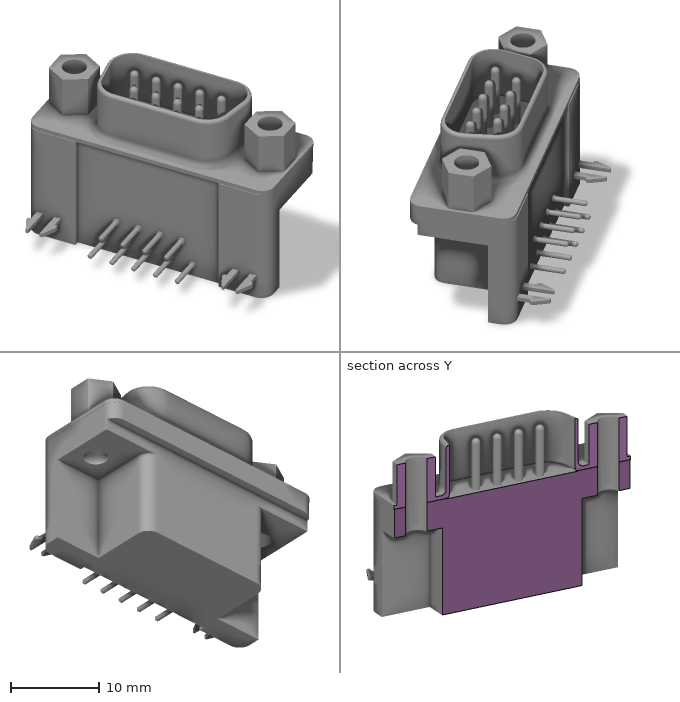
import cadquery as cq
import math

PLATE_LENGTH = 30.8
PLATE_DEPTH = 12.45
CORNER_RADIUS = 1.55
PLATE_BOTTOM_Z = 14.17
PLATE_TOP_Z = 14.7

SHROUD_TOP_Z = 20.7
SHROUD_WALL = 0.45
SHROUD_BASE_FILLET = 0.65
SHROUD_MOUTH_FILLET = 0.5
SHROUD_RIM_FILLET = 0.4
D_CORNER_RADIUS = 3.05
D_HALF_DEPTH = 4.68
D_REAR_CORNER_X = 5.9
D_SLANT = math.radians(10)

STANDOFF_X = 12.48
STANDOFF_TOP_Z = 19.63
STANDOFF_ACROSS_FLATS = 5.02
STANDOFF_ACROSS_CORNERS = STANDOFF_ACROSS_FLATS / math.cos(math.pi / 6)
STANDOFF_HOLE_DIAMETER = 2.85

HOUSING_LENGTH = 30.72
HOUSING_FRONT_Y = -6.32
HOUSING_FLANGE_REAR_Y = 6.22
HOUSING_REAR_Y = 5.02
FLANGE_BOTTOM_Z = 12.05
EAR_BOTTOM_Z = 10.65
PILLAR_REAR_Y = -3.27
CENTER_HALF_WIDTH = 9.12
FRONT_RECESS_DEPTH = 0.62
HOUSING_CENTER_Y = (HOUSING_FRONT_Y + HOUSING_FLANGE_REAR_Y) / 2
RECESS_FACE_Y = HOUSING_FRONT_Y + FRONT_RECESS_DEPTH

CONTACT_PITCH = 2.77
ROW_OFFSET = 1.42
CONTACT_RADIUS = 0.5
CONTACT_TIP_Z = 20.35

CONTACT_ROWS = [(5, ROW_OFFSET, 1.57), (4, -ROW_OFFSET, 4.4)]

TAIL_RADIUS = 0.3
TAIL_END_Y = -9.77
TAIL_CHAMFER = 0.15
COLLAR_RADIUS = 0.4
COLLAR_LENGTH = 0.28

CLIP_Z = 2.85
CLIP_THICKNESS = 0.5
CLIP_INNER_X = 0.75
CLIP_OUTER_X = 1.5
CLIP_BARB_X = 2.1
CLIP_TIP_X = 1.05
CLIP_END_Y = -10.07
CLIP_SHOULDER_Y = -7.83
CLIP_BARB_ROUND = 0.3
CLIP_TIP_ROUND = 0.15


def d_profile(z, offset):
    """D-shaped outline at height z, shrunk inwards by offset."""
    radius = D_CORNER_RADIUS - offset
    center_y = D_HALF_DEPTH - D_CORNER_RADIUS
    rear_x = D_REAR_CORNER_X
    front_x = rear_x - 2 * center_y * math.tan(D_SLANT)

    def on_arc(center_x, arc_center_y, angle):
        return (center_x + radius * math.cos(angle), arc_center_y + radius * math.sin(angle))

    def mirrored(point):
        return (-point[0], point[1])

    rear_end = on_arc(rear_x, center_y, math.pi / 2)
    rear_mid = on_arc(rear_x, center_y, (math.pi / 2 - D_SLANT) / 2)
    side_rear = on_arc(rear_x, center_y, -D_SLANT)
    side_front = on_arc(front_x, -center_y, -D_SLANT)
    front_mid = on_arc(front_x, -center_y, -(math.pi / 2 + D_SLANT) / 2)
    front_end = on_arc(front_x, -center_y, -math.pi / 2)
    return (
        cq.Workplane("XY", origin=(0, 0, z))
        .moveTo(*mirrored(rear_end))
        .lineTo(*rear_end)
        .threePointArc(rear_mid, side_rear)
        .lineTo(*side_front)
        .threePointArc(front_mid, front_end)
        .lineTo(*mirrored(front_end))
        .threePointArc(mirrored(front_mid), mirrored(side_front))
        .lineTo(*mirrored(side_rear))
        .threePointArc(mirrored(rear_mid), mirrored(rear_end))
        .close()
    )


def box(x_range, y_range, z_range):
    """Box between the given limits."""
    (x0, x1), (y0, y1), (z0, z1) = x_range, y_range, z_range
    return cq.Workplane("XY").box(x1 - x0, y1 - y0, z1 - z0, centered=False).translate((x0, y0, z0))


def standoff_holes():
    """Through holes shared by the standoffs, the plate and the housing ears."""
    return (
        cq.Workplane("XY")
        .pushPoints([(-STANDOFF_X, 0), (STANDOFF_X, 0)])
        .circle(STANDOFF_HOLE_DIAMETER / 2)
        .extrude(STANDOFF_TOP_Z)
    )


def make_standoff():
    """Hexagonal standoff on the plate, with two corners pointing along Y."""
    return (
        cq.Workplane("XY", origin=(0, 0, PLATE_TOP_Z))
        .polygon(6, STANDOFF_ACROSS_CORNERS)
        .extrude(STANDOFF_TOP_Z - PLATE_TOP_Z)
        .rotate((0, 0, 0), (0, 0, 1), 90)
    )


def around_shroud(z):
    """Selector of the plate edges at height z that follow the shroud, not the plate's rim."""
    margin = 0.03
    half_x = PLATE_LENGTH / 2 - CORNER_RADIUS
    half_y = D_HALF_DEPTH + margin
    return cq.selectors.BoxSelector((-half_x, -half_y, z - margin), (half_x, half_y, z + margin))


def make_shell():
    """Flange plate carrying the standoffs and the hollow D shroud, flared inside at its foot."""
    plate = (
        cq.Workplane("XY", origin=(0, 0, PLATE_BOTTOM_Z))
        .rect(PLATE_LENGTH, PLATE_DEPTH)
        .extrude(PLATE_TOP_Z - PLATE_BOTTOM_Z)
        .edges("|Z")
        .fillet(CORNER_RADIUS)
    )
    shroud = (
        d_profile(PLATE_TOP_Z, 0)
        .extrude(SHROUD_TOP_Z - PLATE_TOP_Z)
        .faces(">Z")
        .edges()
        .fillet(SHROUD_RIM_FILLET)
    )
    body = plate.union(shroud).edges(around_shroud(PLATE_TOP_Z)).fillet(SHROUD_BASE_FILLET)
    opening = d_profile(PLATE_BOTTOM_Z, SHROUD_WALL).extrude(SHROUD_TOP_Z - PLATE_BOTTOM_Z)
    body = body.cut(opening).edges(around_shroud(PLATE_BOTTOM_Z)).fillet(SHROUD_MOUTH_FILLET)
    for x in (-STANDOFF_X, STANDOFF_X):
        body = body.union(make_standoff().translate((x, 0, 0)))
    return body.cut(standoff_holes())


def make_housing_block():
    """Moulded block: rounded flange, side ears and front pillars."""
    block = (
        cq.Workplane("XY")
        .center(0, HOUSING_CENTER_Y)
        .rect(HOUSING_LENGTH, HOUSING_FLANGE_REAR_Y - HOUSING_FRONT_Y)
        .extrude(PLATE_BOTTOM_Z)
        .edges("|Z")
        .fillet(CORNER_RADIUS)
    )
    full_x = (-HOUSING_LENGTH / 2, HOUSING_LENGTH / 2)
    center_x = (-CENTER_HALF_WIDTH, CENTER_HALF_WIDTH)
    below_flange = box(full_x, (HOUSING_REAR_Y, HOUSING_FLANGE_REAR_Y), (0, FLANGE_BOTTOM_Z))
    below_ears = box(full_x, (PILLAR_REAR_Y, HOUSING_REAR_Y), (0, EAR_BOTTOM_Z))
    center_block = (
        box(center_x, (PILLAR_REAR_Y, HOUSING_REAR_Y), (0, EAR_BOTTOM_Z))
        .edges("|Z and >Y")
        .fillet(CORNER_RADIUS)
    )
    front_recess = box(center_x, (HOUSING_FRONT_Y, RECESS_FACE_Y), (0, PLATE_BOTTOM_Z))
    return (
        block.cut(below_flange)
        .cut(below_ears.cut(center_block))
        .cut(front_recess)
        .cut(standoff_holes())
    )


def make_pin(x, y):
    """Domed mating pin of a contact, standing on the housing inside the shroud."""
    pin = (
        cq.Workplane("XY", origin=(x, y, PLATE_BOTTOM_Z))
        .circle(CONTACT_RADIUS)
        .extrude(CONTACT_TIP_Z - CONTACT_RADIUS - PLATE_BOTTOM_Z)
    )
    dome = cq.Workplane("XY", origin=(x, y, CONTACT_TIP_Z - CONTACT_RADIUS)).sphere(CONTACT_RADIUS)
    return pin.union(dome)


def make_tail(x, tail_z):
    """Chamfered tail of a contact, leaving the front recess through a short collar."""
    tail_plane = cq.Workplane("XZ", origin=(x, RECESS_FACE_Y, tail_z))
    tail = (
        tail_plane.circle(TAIL_RADIUS)
        .extrude(RECESS_FACE_Y - TAIL_END_Y)
        .faces("<Y")
        .chamfer(TAIL_CHAMFER)
    )
    collar = tail_plane.circle(COLLAR_RADIUS).extrude(COLLAR_LENGTH)
    return tail.union(collar)


def make_clip_prong(side):
    """Barbed prong of a board clip, on the given side (-1 or 1) of the clip's middle."""
    outline = [
        (side * CLIP_INNER_X, HOUSING_FRONT_Y),
        (side * CLIP_OUTER_X, HOUSING_FRONT_Y),
        (side * CLIP_OUTER_X, CLIP_SHOULDER_Y),
        (side * CLIP_BARB_X, CLIP_SHOULDER_Y),
        (side * CLIP_TIP_X, CLIP_END_Y),
        (side * CLIP_INNER_X, CLIP_END_Y),
    ]
    prong = (
        cq.Workplane("XY", origin=(0, 0, CLIP_Z - CLIP_THICKNESS / 2))
        .polyline(outline)
        .close()
        .extrude(CLIP_THICKNESS)
    )
    barb_edge = cq.selectors.NearestToPointSelector((side * CLIP_BARB_X, CLIP_SHOULDER_Y, CLIP_Z))
    tip_edge = cq.selectors.NearestToPointSelector((side * CLIP_TIP_X, CLIP_END_Y, CLIP_Z))
    return (
        prong.edges(barb_edge)
        .fillet(CLIP_BARB_ROUND)
        .edges(tip_edge)
        .fillet(CLIP_TIP_ROUND)
    )


def make_housing():
    """Moulded block with every contact and clip prong fixed in it."""
    body = make_housing_block()
    for count, row_y, tail_z in CONTACT_ROWS:
        for index in range(count):
            x = (index - (count - 1) / 2) * CONTACT_PITCH
            body = body.union(make_pin(x, row_y)).union(make_tail(x, tail_z))
    for clip_x in (-STANDOFF_X, STANDOFF_X):
        for side in (-1, 1):
            body = body.union(make_clip_prong(side).translate((clip_x, 0, 0)))
    return body


shell = make_shell()
housing = make_housing()
result = cq.Compound.makeCompound([shell.val(), housing.val()])